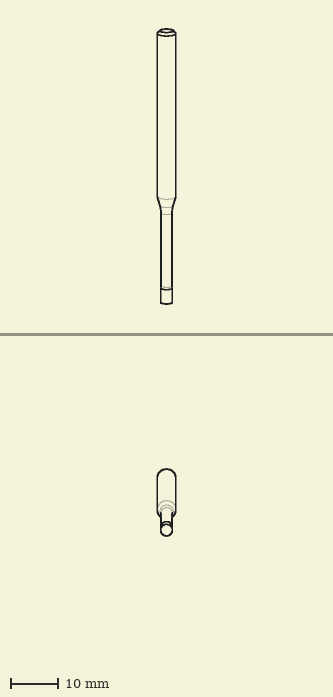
import cadquery as cq

overall_length = 60.0
shank_radius = 2.01
shank_chamfer = 0.6
neck_radius = 1.2
tip_radius = 1.25

tip_length = 3.2
collar_top = 3.7
neck_top = 19.8
taper_bottom = 21.4
taper_bottom_radius = 1.45
shank_bottom = 23.4


def make_cutting_tip():
    """Plain cylindrical envelope of the cutting end."""
    return cq.Workplane("XY").circle(tip_radius).extrude(tip_length)


def make_holder():
    """Collar, neck, flared taper and chamfered shank, revolved as one body."""
    half_profile = (
        cq.Workplane("XZ")
        .moveTo(0, tip_length)
        .lineTo(tip_radius, tip_length)
        .lineTo(neck_radius, collar_top)
        .lineTo(neck_radius, neck_top)
        .tangentArcPoint((taper_bottom_radius, taper_bottom), relative=False)
        .lineTo(shank_radius, shank_bottom)
        .lineTo(shank_radius, overall_length - shank_chamfer)
        .lineTo(shank_radius - shank_chamfer, overall_length)
        .lineTo(0, overall_length)
        .close()
    )
    return half_profile.revolve(360, (0, 0), (0, 1))


cutting_tip = make_cutting_tip()
holder = make_holder()

result = cq.Compound.makeCompound([cutting_tip.val(), holder.val()])